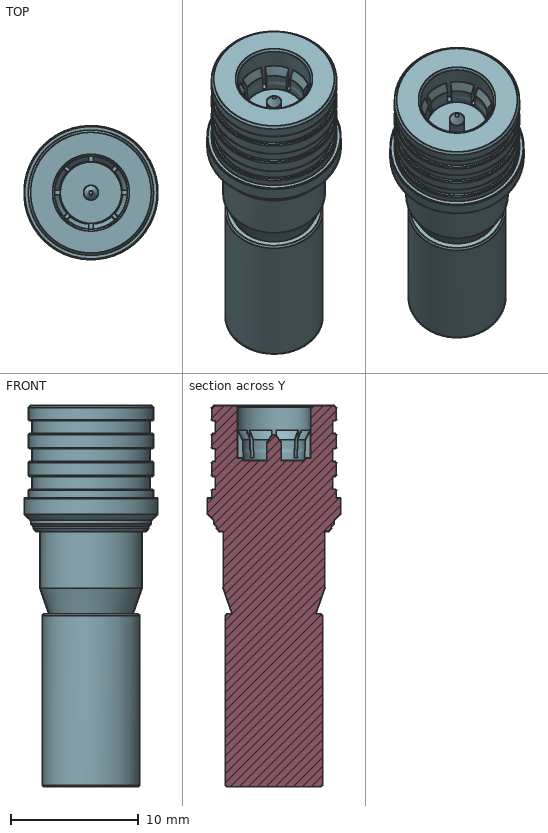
import cadquery as cq

length = 29.85

sleeve_radius = 3.83
sleeve_top = 13.55
sleeve_chamfer = 0.15

neck_radius = 4.0
neck_foot_radius = 3.3
neck_cone_top = 15.56
nut_bottom = 19.97

nut_foot_radius = 4.3
nut_step_radius = 4.72
nut_band_radius = 4.52
nut_band_bottom = 20.22
nut_band_top = 20.38
nut_foot_top = 20.58
nut_step_top = 20.85
collar_radius = 5.245
collar_bottom = 21.35
collar_top = 22.62
collar_chamfer = 0.07
grip_radius = 4.9
groove_radius = 4.63
groove_count = 3
groove_pitch = 2.18
groove_width = 0.98
top_groove_top = length - 1.22
rim_chamfer = 0.18
land_chamfer = 0.1

bore_radius = 2.85
mouth_chamfer = 0.16
seat_depth = 1.95
seat_height = 0.76
throat_radius = 2.46
lead_depth = 3.4
lead_height = 0.28
well_radius = 2.4
socket_depth = 4.3

slot_count = 8
slot_width = 0.34
slot_inner_radius = 2.1
slot_floor_depth = 4.1

pin_radius = 0.58
pin_tip_radius = 0.15
pin_cone_height = 0.6
pin_tip_depth = 2.3

axis_start = (0, 0)
axis_end = (0, 1)


def revolve_profile(points):
    """Turn a closed (radius, height) outline about the Z axis."""
    return cq.Workplane("XZ").polyline(points).close().revolve(360, axis_start, axis_end)


def make_sleeve():
    sleeve = cq.Workplane("XY").circle(sleeve_radius).extrude(sleeve_top)
    return sleeve.faces("<Z or >Z").edges().chamfer(sleeve_chamfer)


def make_neck():
    return revolve_profile([
        (0, sleeve_top),
        (neck_foot_radius, sleeve_top),
        (neck_radius, neck_cone_top),
        (neck_radius, nut_bottom),
        (0, nut_bottom),
    ])


def make_nut():
    return revolve_profile([
        (0, nut_bottom),
        (nut_foot_radius, nut_bottom),
        (nut_band_radius, nut_band_bottom),
        (nut_band_radius, nut_band_top),
        (nut_step_radius, nut_foot_top),
        (nut_step_radius, nut_step_top),
        (collar_radius, collar_bottom),
        (collar_radius, collar_top - collar_chamfer),
        (collar_radius - collar_chamfer, collar_top),
        (grip_radius, collar_top),
        (grip_radius, length - rim_chamfer),
        (grip_radius - rim_chamfer, length),
        (0, length),
    ])


def make_groove(top):
    """Ring cutter for one grip groove, flared to chamfer the lands beside it."""
    bottom = top - groove_width
    return revolve_profile([
        (groove_radius, top),
        (grip_radius - land_chamfer, top),
        (grip_radius, top + land_chamfer),
        (collar_radius, top + land_chamfer),
        (collar_radius, bottom - land_chamfer),
        (grip_radius, bottom - land_chamfer),
        (grip_radius - land_chamfer, bottom),
        (groove_radius, bottom),
    ])


def make_socket():
    seat_top = length - seat_depth
    lead_top = length - lead_depth
    floor = length - socket_depth
    return revolve_profile([
        (0, floor),
        (well_radius, floor),
        (well_radius, lead_top - lead_height),
        (throat_radius, lead_top),
        (throat_radius, seat_top - seat_height),
        (bore_radius, seat_top),
        (bore_radius, length - mouth_chamfer),
        (bore_radius + mouth_chamfer, length),
        (0, length),
    ])


def make_slots():
    """Radial slots through the contact ring, from inside the well out to the bore radius."""
    slot_floor = length - slot_floor_depth
    slot_height = slot_floor_depth - seat_depth
    ring = (
        cq.Workplane("XY", origin=(0, 0, slot_floor))
        .circle(bore_radius)
        .circle(slot_inner_radius)
        .extrude(slot_height)
    )
    blades = (
        cq.Workplane("XY", origin=(0, 0, slot_floor))
        .polarArray(bore_radius, 0, 360, slot_count)
        .rect(bore_radius, slot_width)
        .extrude(slot_height)
    )
    return ring.intersect(blades)


def make_pin():
    floor = length - socket_depth
    tip = length - pin_tip_depth
    return revolve_profile([
        (0, floor),
        (pin_radius, floor),
        (pin_radius, tip - pin_cone_height),
        (pin_tip_radius, tip),
        (0, tip),
    ])


body = make_sleeve().union(make_neck()).union(make_nut())
for groove in range(groove_count):
    body = body.cut(make_groove(top_groove_top - groove * groove_pitch))
socket = make_socket().union(make_slots())
result = body.cut(socket).union(make_pin())